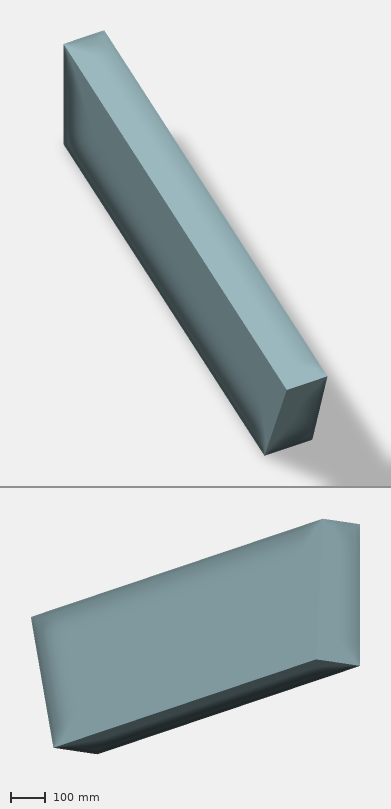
import cadquery as cq

top_length = 1525.0
bottom_length = 1373.0
height = 420.0
bottom_thickness = 153.0
top_thickness = 130.0

plate = (
    cq.Workplane("XZ")
    .polyline([(0, 0), (bottom_length, 0), (top_length, height), (0, height)])
    .close()
    .extrude(-bottom_thickness)
)

tapered_bar = (
    cq.Workplane("YZ")
    .polyline([(0, 0), (bottom_thickness, 0), (top_thickness, height), (0, height)])
    .close()
    .extrude(top_length)
)

result = plate.intersect(tapered_bar)